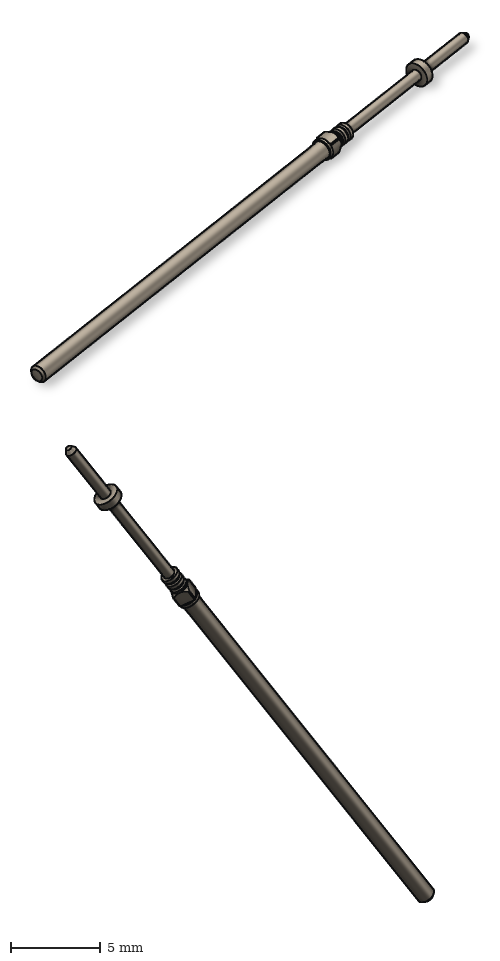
import cadquery as cq

total_length = 39.2
collar_start = 4.05
collar_thickness = 0.5
barrel_start = 11.0
lead_in_start = 12.1
square_start = 12.3
stop_ring_start = 13.0
stop_ring_width = 0.2
neck_end = 14.0

rod_diameter = 0.68
rod_tip_chamfer_length = 0.28
rod_tip_chamfer_depth = 0.16
collar_diameter = 1.5
barrel_diameter = 1.06
barrel_end_chamfer = 0.15
stop_ring_diameter = 1.3
square_width = 1.06
square_corner_diameter = 1.42
neck_front_diameter = 1.12

rib_count = 2
rib_width = 0.24
groove_width = 0.24
groove_root_diameter = 0.92
rib_pitch = rib_width + groove_width
shoulder_start = barrel_start + rib_count * rib_pitch


def cylinder(diameter, start, end):
    """Round bar on the probe axis between two distances behind the tip."""
    seam_at_top = cq.Plane(origin=(0, -start, 0), xDir=(0, 0, 1), normal=(0, -1, 0))
    return cq.Workplane(seam_at_top).circle(diameter / 2).extrude(end - start)


def cone(start_diameter, end_diameter, start, end):
    """Solid taper on the probe axis between two distances behind the tip."""
    profile = [
        (0, -start),
        (start_diameter / 2, -start),
        (end_diameter / 2, -end),
        (0, -end),
    ]
    return cq.Workplane("XY").polyline(profile).close().revolve(360, (0, 0), (0, 1))


def make_plunger():
    rod = cylinder(rod_diameter, 0, barrel_start)
    rod = rod.faces(">Y").edges().chamfer(rod_tip_chamfer_length, rod_tip_chamfer_depth)
    collar = cylinder(collar_diameter, collar_start, collar_start + collar_thickness)
    return rod.union(collar)


def make_ribs():
    """Ribs parted by V-grooves, closed by the plain shoulder before the square."""
    ribbed_section = cylinder(barrel_diameter, shoulder_start, lead_in_start)
    for index in range(rib_count):
        rib_start = barrel_start + index * rib_pitch
        rib_end = rib_start + rib_width
        groove_root = rib_end + groove_width / 2
        groove_end = rib_end + groove_width
        rib = cylinder(barrel_diameter, rib_start, rib_end)
        front_flank = cone(barrel_diameter, groove_root_diameter, rib_end, groove_root)
        rear_flank = cone(groove_root_diameter, barrel_diameter, groove_root, groove_end)
        ribbed_section = ribbed_section.union(rib).union(front_flank).union(rear_flank)
    return ribbed_section


def make_square_section():
    """Four wrench flats whose corners are turned round, with a conical lead-in."""
    length = stop_ring_start - lead_in_start
    square = (
        cq.Workplane("XY")
        .box(square_width, length, square_width)
        .translate((0, -lead_in_start - length / 2, 0))
    )
    corner_envelope = cone(barrel_diameter, square_corner_diameter, lead_in_start, square_start)
    corner_envelope = corner_envelope.union(
        cylinder(square_corner_diameter, square_start, stop_ring_start)
    )
    return square.intersect(corner_envelope)


def make_barrel():
    ring = cylinder(stop_ring_diameter, stop_ring_start, stop_ring_start + stop_ring_width)
    neck = cone(neck_front_diameter, barrel_diameter, stop_ring_start, neck_end)
    tube = cylinder(barrel_diameter, neck_end, total_length)
    return tube.faces("<Y").edges().chamfer(barrel_end_chamfer).union(neck).union(ring)


result = make_plunger().union(make_ribs()).union(make_square_section()).union(make_barrel())